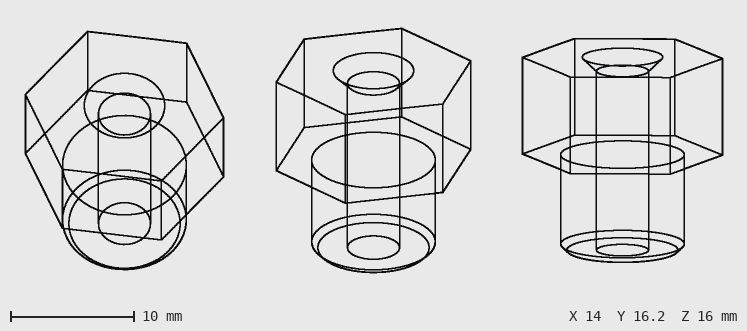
import cadquery as cq

corner_width = 16.17
total_height = 15.98
shank_diameter = 10.0
shank_length = 7.9
shank_chamfer = 0.5
bore_diameter = 4.2
countersink_diameter = 6.5
countersink_angle = 90.0
crown_drop = 0.08

head_height = total_height - shank_length
corner_radius = corner_width / 2


def make_head():
    """Hexagonal head with corners on the Y axis and a slightly conical top."""
    hexagon = (
        cq.Workplane("XY")
        .workplane(offset=shank_length)
        .transformed(rotate=(0, 0, 90))
        .polygon(6, corner_width)
        .extrude(head_height)
    )
    crown_profile = [
        (0, shank_length),
        (corner_radius, shank_length),
        (corner_radius, total_height - crown_drop),
        (countersink_diameter / 2, total_height),
        (0, total_height),
    ]
    crown = cq.Workplane("XZ").polyline(crown_profile).close().revolve(360, (0, 0), (0, 1))
    return hexagon.intersect(crown)


def make_shank():
    """Round shank with a chamfered lower end."""
    shank = cq.Workplane("XY").circle(shank_diameter / 2).extrude(shank_length)
    return shank.faces("<Z").chamfer(shank_chamfer)


body = make_head().union(make_shank())

result = (
    body.faces(">Z")
    .workplane(origin=(0, 0, total_height))
    .cskHole(bore_diameter, countersink_diameter, countersink_angle)
)